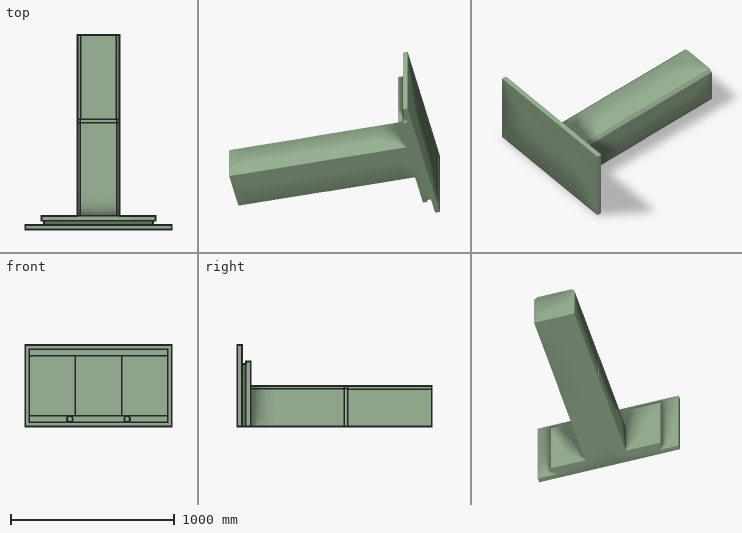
import cadquery as cq

TOTAL_LENGTH = 1190.0

CANOPY_WIDTH = 898.0
CANOPY_HEIGHT = 500.0
CANOPY_DEPTH = 30.0
SHEET = 2.0

PANEL_WIDTH = 847.0
PANEL_MARGIN = 26.0
PANEL_RECESS = 1.0
STRIP_HEIGHT = 40.0
FILTER_COUNT = 3
FILTER_DEPTH = 12.0
FILTER_RECESS = 2.0
LAMP_RADIUS = 18.0
LAMP_DEPTH = 12.0
LAMP_SPACING = 350.0

NECK_WIDTH = 666.0
NECK_HEIGHT = 384.0
NECK_END = 54.0
PLINTH_WIDTH = 699.0
PLINTH_HEIGHT = 399.0
PLINTH_END = 83.0

CHIMNEY_WIDTH = 260.0
CHIMNEY_HEIGHT = 250.0
CHIMNEY_CHAMFER = 19.0
LOWER_CHIMNEY_END = 653.0
COLLAR_END = 676.0
CHIMNEY_STEP = 0.6
WALL_STRIP_THICKNESS = 2.0

PANEL_HEIGHT = CANOPY_HEIGHT - 2 * PANEL_MARGIN
FILTER_WIDTH = PANEL_WIDTH / FILTER_COUNT
FILTER_HEIGHT = PANEL_HEIGHT - 2 * STRIP_HEIGHT
FILTER_BOTTOM = PANEL_MARGIN + STRIP_HEIGHT
LAMP_Z = PANEL_MARGIN + STRIP_HEIGHT / 2
TRAY_WIDTH = CANOPY_WIDTH - 2 * SHEET
TRAY_END = CANOPY_DEPTH - SHEET


def block(width, y_start, y_end, z_start, height, x_center=0.0):
    """Box centred on x_center, spanning y_start to y_end and standing on z_start."""
    return (
        cq.Workplane("XY")
        .box(width, y_end - y_start, height, centered=(True, False, False))
        .translate((x_center, y_start, z_start))
    )


def make_canopy():
    """Back and side sheets, open at the front, with the stepped plinth behind."""
    shell = block(CANOPY_WIDTH, 0, CANOPY_DEPTH, 0, CANOPY_HEIGHT)
    shell = shell.cut(block(TRAY_WIDTH, 0, TRAY_END, 0, CANOPY_HEIGHT))
    neck = block(NECK_WIDTH, CANOPY_DEPTH, NECK_END, 0, NECK_HEIGHT)
    plinth = block(PLINTH_WIDTH, NECK_END, PLINTH_END, 0, PLINTH_HEIGHT)
    return shell.union(neck).union(plinth)


def make_filter(index):
    """One of the filters placed side by side across the panel."""
    x_center = (index - (FILTER_COUNT - 1) / 2) * FILTER_WIDTH
    return block(FILTER_WIDTH, FILTER_RECESS, FILTER_RECESS + FILTER_DEPTH,
                 FILTER_BOTTOM, FILTER_HEIGHT, x_center)


def make_lamp(x_center):
    """Round lamp, flush with the panel face."""
    front_center = cq.Vector(x_center, PANEL_RECESS, LAMP_Z)
    return cq.Workplane(cq.Solid.makeCylinder(LAMP_RADIUS, LAMP_DEPTH, front_center, cq.Vector(0, 1, 0)))


def make_tray(inserts):
    """Tray with the recessed panel, the filter opening and a seat for every insert."""
    tray = block(TRAY_WIDTH, 0, TRAY_END, 0, CANOPY_HEIGHT)
    tray = tray.cut(block(PANEL_WIDTH, 0, PANEL_RECESS, PANEL_MARGIN, PANEL_HEIGHT))
    tray = tray.cut(block(PANEL_WIDTH, 0, FILTER_RECESS, FILTER_BOTTOM, FILTER_HEIGHT))
    for insert in inserts:
        tray = tray.cut(insert)
    return tray


def chimney_stage(inset, y_start, y_end, z_start):
    """Length of chimney, set in on its sides and top, with both top edges chamfered."""
    height = CHIMNEY_HEIGHT - inset - z_start
    stage = block(CHIMNEY_WIDTH - 2 * inset, y_start, y_end, z_start, height)
    return stage.edges("|Y and >Z").chamfer(CHIMNEY_CHAMFER)


def make_lower_chimney():
    return chimney_stage(0, PLINTH_END, LOWER_CHIMNEY_END, 0)


def make_upper_chimney():
    """Collar and main length in one piece, on a slightly narrower wall strip."""
    collar = chimney_stage(CHIMNEY_STEP, LOWER_CHIMNEY_END, COLLAR_END, WALL_STRIP_THICKNESS)
    main = chimney_stage(2 * CHIMNEY_STEP, COLLAR_END, TOTAL_LENGTH, WALL_STRIP_THICKNESS)
    strip_width = CHIMNEY_WIDTH - 6 * CHIMNEY_STEP
    strip = block(strip_width, LOWER_CHIMNEY_END, TOTAL_LENGTH, 0, WALL_STRIP_THICKNESS)
    return collar.union(main).union(strip)


canopy = make_canopy()
filters = [make_filter(index) for index in range(FILTER_COUNT)]
lamps = [make_lamp(side * LAMP_SPACING / 2) for side in (-1, 1)]
tray = make_tray(filters + lamps)
lower_chimney = make_lower_chimney()
upper_chimney = make_upper_chimney()

bodies = [canopy, tray, *filters, *lamps, lower_chimney, upper_chimney]
result = cq.Compound.makeCompound([body.solids().val() for body in bodies])